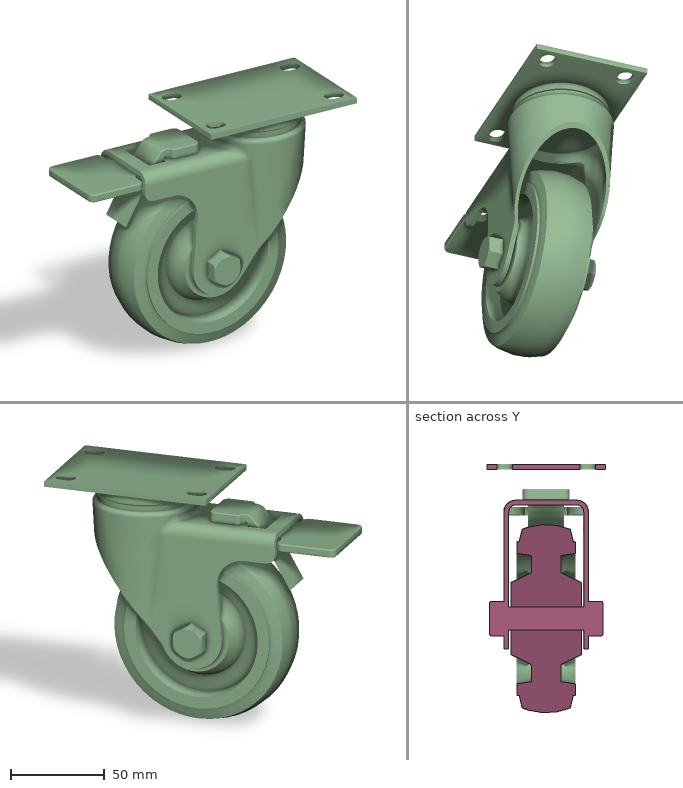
import cadquery as cq
import math


overall_height = 133.0
wheel_radius = 50.5
axle_z = wheel_radius
axle_y = -35.0

plate_width = 63.5
plate_length = 92.0
plate_thickness = 3.0
plate_bottom = overall_height - plate_thickness
slot_width = 8.1
slot_length = 11.2
slot_spacing_x = 44.3
slot_spacing_y = 74.5

ring_radius = 52.3 / 2
ring_round = 4.9
neck_radius = 48.7 / 2
upper_ring_bottom = overall_height - 9.4
lower_ring_top = overall_height - 10.4
fork_top = overall_height - 13.1

wall = 2.8
shroud_wall = 2.0
shroud_radius = 28.3
shroud_round = 2.6
shroud_taper = 3.2
channel_half_width = 22.7
channel_top = overall_height - 19.1
channel_bottom = overall_height - 35.0
channel_bend_radius = 6.5
channel_end_y = -82.0
channel_end_lean = 0.8
channel_lean_height = 8.1
channel_corner_radius = 5.2
shroud_blend_radius = 2.6
seam_margin = 1.6
shroud_back_z = overall_height - 30.1
leg_end_radius = 16.5
leg_edge_y = -48.7
leg_edge_z = overall_height - 49.7
leg_throat_radius = 15.9

opening_half_width = 12.5
opening_back_y = -62.3
opening_front_y = -73.2

axle_diameter = 12.6
hex_across_flats = 16.2
hex_half_span = 30.6
hex_chamfer_angle = 30

tread_half_width = 13.0
tread_edge_radius = 47.9
shoulder_half_width = 14.5
rim_half_width = 15.9
rim_radius = 82.5 / 2
recess_radius = 34.8
recess_floor_radius = 33.7
recess_floor_half_width = 8.1
hub_base_radius = 24.6
hub_half_width = 19.0
hub_radius = 19.5

pedal_half_width = 22.7
pedal_back_y = -82.4
pedal_front_y = plate_length / 2 - 161.8
pedal_top = overall_height - 23.0
pedal_thickness = 4.5
pedal_corner_radius = 3.4
pedal_edge_radius = 0.8
arm_half_width = 11.3
arm_back_y = -72.2
arm_flare = 2.9
cap_half_width = 12.5
cap_back_y = -40.6
cap_front_y = -60.2
cap_shoulder_length = 3.9
cap_top = overall_height - 13.3
cap_bottom = channel_top
cap_corner_radius = 3.5
cap_edge_radius = 0.6
strip_half_width = 9.5
strip_thickness = 4.0
strip_foot_y = -72.8
strip_slope = 51
strip_bend_radius = 6.0
strip_edge_radius = 0.8
leaf_thickness = 1.0
leaf_root_y = -69.3
leaf_tip_y = -86.6
leaf_tip_z = overall_height - 52.6


def tangent_angle(y, z, side):
    """Angle on the leg end circle where a line from (y, z) touches it."""
    distance = math.hypot(y - axle_y, z - axle_z)
    towards_point = math.atan2(z - axle_z, y - axle_y)
    return towards_point + side * math.acos(leg_end_radius / distance)


def leg_end_point(angle):
    """Point (y, z) on the leg end circle."""
    return (axle_y + leg_end_radius * math.cos(angle), axle_z + leg_end_radius * math.sin(angle))


def extruded_along_x(sketch, half_width):
    """Solid from a sketch on the YZ plane, reaching equally far to both sides."""
    return sketch.extrude(half_width, both=True)


def mounting_plate():
    """Flat plate with a slotted hole near each corner."""
    plate = (
        cq.Workplane("XY")
        .workplane(offset=plate_bottom)
        .rect(plate_width, plate_length)
        .extrude(plate_thickness)
    )
    slots = (
        cq.Workplane("XY")
        .workplane(offset=plate_bottom)
        .rect(slot_spacing_x, slot_spacing_y, forConstruction=True)
        .vertices()
        .slot2D(slot_length, slot_width, 90)
        .extrude(plate_thickness)
    )
    return plate.cut(slots)


def swivel_rings():
    """Upper ring with a rounded shoulder, a thinner neck and a lower ring."""
    profile = (
        cq.Workplane("XZ")
        .moveTo(0, plate_bottom)
        .lineTo(ring_radius - ring_round, plate_bottom)
        .radiusArc((ring_radius, plate_bottom - ring_round), ring_round)
        .lineTo(ring_radius, upper_ring_bottom)
        .lineTo(neck_radius, upper_ring_bottom)
        .lineTo(neck_radius, lower_ring_top)
        .lineTo(ring_radius, lower_ring_top)
        .lineTo(ring_radius, fork_top)
        .lineTo(0, fork_top)
        .close()
    )
    return profile.revolve()


def shroud(inset):
    """Solid tapered shroud down to axle height, drawn in from the outside by the inset."""
    radius = shroud_radius - inset
    top = fork_top - inset
    side_top = fork_top - shroud_round
    corner = shroud_round - inset
    bottom_radius = radius - (side_top - axle_z) * math.tan(math.radians(shroud_taper))
    profile = (
        cq.Workplane("XZ")
        .moveTo(0, top)
        .lineTo(radius - corner, top)
        .radiusArc((radius, top - corner), corner)
        .lineTo(bottom_radius, axle_z)
        .lineTo(0, axle_z)
        .close()
    )
    return profile.revolve()


def channel(inset, front_y):
    """Solid channel with bent upper corners, drawn in from the outside by the inset."""
    half_width = channel_half_width - inset
    top = channel_top - inset
    block = cq.Workplane("XZ").center(0, top / 2).rect(2 * half_width, top).extrude(-front_y)
    return block.edges("|Y and >Z").fillet(channel_bend_radius - inset)


def fork_side_outline():
    """Side shape of the fork: sloping back, round leg end, throat and channel end."""
    back_angle = tangent_angle(shroud_radius, shroud_back_z, -1)
    front_angle = tangent_angle(leg_edge_y, leg_edge_z, 1)
    back_tangent = leg_end_point(back_angle)
    front_tangent = leg_end_point(front_angle)
    leg_bottom = leg_end_point(-math.pi / 2)
    lean = (leg_edge_y - front_tangent[0]) / (leg_edge_z - front_tangent[1])
    throat_y = leg_edge_y + lean * (channel_bottom - leg_edge_z)
    end_top_y = channel_end_y + channel_end_lean
    outline = (
        cq.Workplane("YZ")
        .moveTo(shroud_radius, fork_top)
        .lineTo(shroud_radius, shroud_back_z)
        .lineTo(*back_tangent)
        .threePointArc(leg_bottom, front_tangent)
        .lineTo(throat_y, channel_bottom)
        .lineTo(channel_end_y, channel_bottom)
        .lineTo(channel_end_y, channel_top - channel_lean_height)
        .lineTo(end_top_y, channel_top)
        .lineTo(end_top_y, fork_top)
        .close()
    )
    solid = extruded_along_x(outline, shroud_radius)
    solid = solid.edges(cq.NearestToPointSelector((0, throat_y, channel_bottom))).fillet(leg_throat_radius)
    end_corner = cq.NearestToPointSelector((0, channel_end_y, channel_bottom))
    return solid.edges(end_corner).fillet(channel_corner_radius)


def fork():
    """Sheet shell of shroud and channel, cut to its side shape and opened for the brake."""
    reach = channel_end_y - wall
    outside = shroud(0).union(channel(0, reach))
    seam_box = cq.selectors.BoxSelector(
        (-shroud_radius, -shroud_radius, axle_z + seam_margin),
        (shroud_radius, -seam_margin, fork_top - shroud_round),
    )
    outside = outside.edges(seam_box).fillet(shroud_blend_radius)
    inside = shroud(shroud_wall).union(channel(wall, reach - wall))
    opening = (
        cq.Workplane("XY")
        .workplane(offset=channel_top)
        .center(0, (opening_back_y + opening_front_y) / 2)
        .rect(2 * opening_half_width, opening_back_y - opening_front_y)
        .extrude(2 * wall, both=True)
    )
    return outside.cut(inside).intersect(fork_side_outline()).cut(opening)


def axle_bolt():
    """Round axle with a chamfered hexagon outside each leg."""
    corner_radius = hex_across_flats / math.sqrt(3)
    chamfer = (corner_radius - hex_across_flats / 2) * math.tan(math.radians(hex_chamfer_angle))
    axle = extruded_along_x(cq.Workplane("YZ").center(axle_y, axle_z).circle(axle_diameter / 2), hex_half_span)
    hexagon = (
        cq.Workplane("YZ")
        .center(axle_y, axle_z)
        .transformed(rotate=(0, 0, 90))
        .polygon(6, 2 * corner_radius)
    )
    hexagons = extruded_along_x(hexagon, hex_half_span)
    round_limit = extruded_along_x(
        cq.Workplane("YZ").center(axle_y, axle_z).circle(corner_radius), hex_half_span
    )
    round_limit = round_limit.faces("<X or >X").chamfer(chamfer, corner_radius - hex_across_flats / 2)
    between_legs = extruded_along_x(
        cq.Workplane("YZ").center(axle_y, axle_z).circle(hex_across_flats), channel_half_width - wall
    )
    return axle.union(hexagons.intersect(round_limit).cut(between_legs))


def build_bracket():
    return mounting_plate().union(swivel_rings()).union(fork()).union(axle_bolt())


def build_wheel():
    """Wheel turned about the axle, with a crowned tread and a dished recess on each side."""
    bore_radius = axle_diameter / 2
    right_side = [
        (shoulder_half_width, rim_radius),
        (rim_half_width, rim_radius),
        (rim_half_width, recess_radius),
        (recess_floor_half_width, recess_floor_radius),
        (recess_floor_half_width, hub_base_radius),
        (hub_half_width, hub_radius),
        (hub_half_width, bore_radius),
    ]
    left_side = [(-x, radius) for x, radius in reversed(right_side)]
    profile = (
        cq.Workplane("XY")
        .moveTo(-tread_half_width, tread_edge_radius)
        .threePointArc((0, wheel_radius), (tread_half_width, tread_edge_radius))
        .polyline(right_side + left_side, includeCurrent=True)
        .close()
    )
    return profile.revolve(360, (0, 0, 0), (1, 0, 0)).translate((0, axle_y, axle_z))


def pedal():
    """Pedal pad with rounded edges and the arm that carries it under the channel."""
    pedal_bottom = pedal_top - pedal_thickness
    pad = (
        cq.Workplane("XY")
        .workplane(offset=pedal_bottom)
        .center(0, (pedal_back_y + pedal_front_y) / 2)
        .rect(2 * pedal_half_width, pedal_back_y - pedal_front_y)
        .extrude(pedal_thickness)
        .edges("|Z")
        .fillet(pedal_corner_radius)
        .faces("<Z or >Z")
        .edges()
        .fillet(pedal_edge_radius)
    )
    arm_front_y = pedal_back_y - pedal_corner_radius
    flare_x = arm_half_width + arm_flare
    arm = (
        cq.Workplane("XY")
        .workplane(offset=pedal_bottom)
        .moveTo(-arm_half_width, arm_back_y)
        .lineTo(arm_half_width, arm_back_y)
        .lineTo(arm_half_width, pedal_back_y + arm_flare)
        .radiusArc((flare_x, pedal_back_y), -arm_flare)
        .lineTo(flare_x, arm_front_y)
        .lineTo(-flare_x, arm_front_y)
        .lineTo(-flare_x, pedal_back_y)
        .radiusArc((-arm_half_width, pedal_back_y + arm_flare), -arm_flare)
        .close()
        .extrude(pedal_thickness)
    )
    return pad.union(arm)


def release_cap():
    """Push cap above the channel, narrowing to the strip through an S-shaped corner."""
    step = cap_half_width - strip_half_width
    shoulder = (step**2 + cap_shoulder_length**2) / (4 * step)
    middle_x = (cap_half_width + strip_half_width) / 2
    start_y = cap_front_y + cap_shoulder_length
    middle_y = (start_y + cap_front_y) / 2
    cap = (
        cq.Workplane("XY")
        .workplane(offset=cap_bottom)
        .moveTo(-cap_half_width, cap_back_y)
        .lineTo(cap_half_width, cap_back_y)
        .lineTo(cap_half_width, start_y)
        .radiusArc((middle_x, middle_y), shoulder)
        .radiusArc((strip_half_width, cap_front_y), -shoulder)
        .lineTo(-strip_half_width, cap_front_y)
        .radiusArc((-middle_x, middle_y), -shoulder)
        .radiusArc((-cap_half_width, start_y), shoulder)
        .close()
        .extrude(cap_top - cap_bottom)
    )
    cap = cap.edges("|Z and >Y").fillet(cap_corner_radius)
    return cap.faces("<Z or >Z").edges("not <Y").fillet(cap_edge_radius)


def sloping_strip():
    """Strip that bends down from the cap and slopes through the opening to the arm."""
    slope = math.radians(strip_slope)
    inner_radius = strip_bend_radius - strip_thickness
    bend_z = cap_top - strip_bend_radius

    def on_bend(radius, angle):
        return (cap_front_y - radius * math.sin(angle), bend_z + radius * math.cos(angle))

    outer_end = on_bend(strip_bend_radius, slope)
    inner_end = on_bend(inner_radius, slope)
    foot_z = outer_end[1] - (outer_end[0] - strip_foot_y) * math.tan(slope)
    inner_foot_y = strip_foot_y + strip_thickness / math.sin(slope)
    outline = (
        cq.Workplane("YZ")
        .moveTo(cap_front_y, cap_top)
        .threePointArc(on_bend(strip_bend_radius, slope / 2), outer_end)
        .lineTo(strip_foot_y, foot_z)
        .lineTo(inner_foot_y, foot_z)
        .lineTo(*inner_end)
        .threePointArc(on_bend(inner_radius, slope / 2), on_bend(inner_radius, 0))
        .close()
    )
    strip = extruded_along_x(outline, strip_half_width)
    middle_y = (outer_end[0] + strip_foot_y) / 2
    middle_z = (outer_end[1] + foot_z) / 2
    for side in (-1, 1):
        outer_edge = cq.NearestToPointSelector((side * strip_half_width, middle_y, middle_z))
        strip = strip.edges(outer_edge).fillet(strip_edge_radius)
    return strip


def brake_leaf():
    """Thin leaf that leans down and forward from the foot of the strip past the tread."""
    root_z = pedal_top
    length = math.hypot(leaf_tip_y - leaf_root_y, leaf_tip_z - root_z)
    step_y = leaf_thickness * (root_z - leaf_tip_z) / length
    step_z = leaf_thickness * (leaf_root_y - leaf_tip_y) / length
    outline = (
        cq.Workplane("YZ")
        .moveTo(leaf_root_y, root_z)
        .lineTo(leaf_tip_y, leaf_tip_z)
        .lineTo(leaf_tip_y + step_y, leaf_tip_z - step_z)
        .lineTo(leaf_root_y + step_y, root_z - step_z)
        .close()
    )
    return extruded_along_x(outline, strip_half_width)


def build_brake():
    return pedal().union(release_cap()).union(sloping_strip()).union(brake_leaf())


bracket = build_bracket()
wheel = build_wheel()
brake = build_brake()

result = cq.Compound.makeCompound([bracket.val(), wheel.val(), brake.val()])